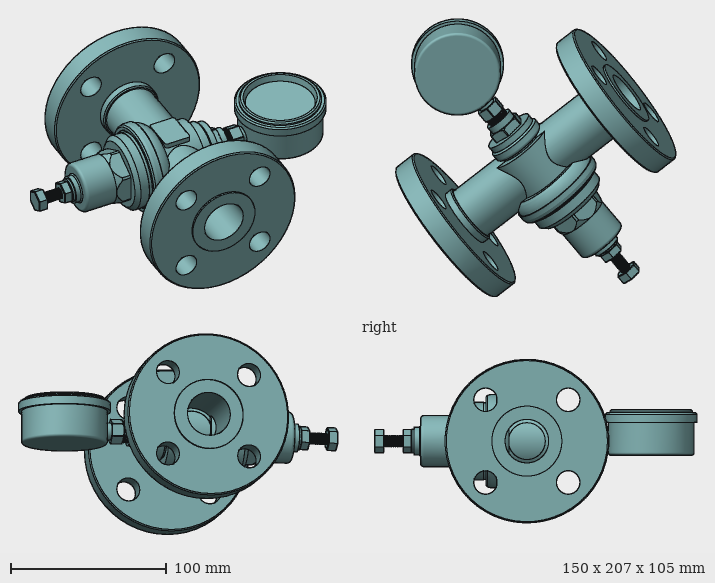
import cadquery as cq
import math


OVERALL_LENGTH = 150.0
FLANGE_DIA = 105.0
FLANGE_THICKNESS = 15.1
FLANGE_CHAMFER = 0.8
RAISED_FACE_DIA = 45.0
RAISED_FACE_HEIGHT = 1.2
HUB_DIA = 39.5
HUB_LENGTH = 5.4
HUB_CHAMFER = 0.8
PIPE_DIA = 36.0
BORE_DIA = 28.0
BOLT_CIRCLE_DIA = 75.0
BOLT_HOLE_DIA = 15.0
BOLT_COUNT = 4
FIRST_BOLT_ANGLE = 45

CORE_DIA = 43.5
CORE_TOP = 15.3
CORE_BOTTOM = -11.4
SEAT_DIA = 23.5
SEAT_DEPTH = 0.5

COLLAR_DIA = 35.5
COLLAR_NECK_DIA = 31.5
COLLAR_BOTTOM = 16.3
COLLAR_TOP = 23.5
COLLAR_CHAMFER = 1.2
COLLAR_FILLET = 2.0

BELL_DIA = 60.0
BELL_TOP_DIA = 51.0
BELL_CROWN_DIA = 53.8
BELL_BULGE_DIA = 56.7
BELL_SHOULDER_DIA = 58.4
BELL_CROWN_END = -13.0
BELL_BULGE_HEIGHT = -15.7
BELL_RIM_TOP = -19.5
BELL_RIM_BOTTOM = -23.2
BELL_LIP_DIA = 58.8
BELL_LIP_TOP = -25.2
BELL_BOTTOM = -26.3
BELL_BOTTOM_DIA = 56.7
BELL_RECESS_DIA = 52.4
BELL_RECESS_DEPTH = 1.0
CAP_SEAT = BELL_BOTTOM + BELL_RECESS_DEPTH

PAD_LENGTH = 22.8
PAD_WIDTH = 18.0
PAD_CORNER = 1.7
PAD_TOP = 22.0

PLUG_RIM_DIA = 33.0
PLUG_RIM_TOP = 27.7
PLUG_HEX_FLATS = 20.3
PLUG_HEX_CORNER_DIA = 23.0
PLUG_HEX_CHAMFER = 0.8
PLUG_HEX_TOP = 33.5
PLUG_BOSS_DIA = 18.0
PLUG_TOP = 38.3

GAUGE_CENTRE = 79.7
BEZEL_DIA = 59.0
BEZEL_BOTTOM = 12.0
BEZEL_TOP = 18.2
BEZEL_CHAMFER = 1.0
RIM_DIA = 53.0
RIM_TOP = 20.3
RIM_CHAMFER = 1.0
RIM_BORE_DIA = 47.5
DIAL_DIA = 45.0
DIAL_DEPTH = 4.3
CASE_DIA = 55.0
CASE_BOTTOM = -9.1
CASE_FILLET = 1.7
STEM_DIA = 11.0
STEM_HEX_FLATS = 14.0
STEM_HEX_CORNER_DIA = 16.0
STEM_HEX_BOTTOM = 42.2
STEM_HEX_TOP = 49.7
STEM_THREAD_DIA = 13.9

CAP_DIA = 50.0
CAP_GROOVE_DIA = 49.5
CAP_GROOVE_WIDTH = 2.5
CAP_CHAMFER = 3.0
CAP_BOTTOM = -36.8
BONNET_HEX_FLATS = 33.0
BONNET_HEX_CORNER_DIA = 37.0
BONNET_CONE_START = -42.6
BONNET_HEX_BOTTOM = -47.0
BARREL_DIA = 33.0
BARREL_BOTTOM = -68.0
BARREL_FILLET = 2.0
NECK_FLARE_DIA = 19.9
NECK_FLARE_BOTTOM = -69.0
NECK_DIA = 18.0
NECK_BOTTOM = -72.2
NECK_END_DIA = 15.5
BONNET_BOTTOM = -73.7
SCREW_ENGAGEMENT = 10.3

NUT_FLATS = 13.0
NUT_HEIGHT = 5.8
HEX_CHAMFER = 0.52
SCREW_DIA = 7.2
SCREW_HEAD_TOP = -91.5
SCREW_BOTTOM = -97.78
THREAD_PITCH = 1.2
THREAD_DEPTH = 0.31

NUT_BOTTOM = BONNET_BOTTOM - NUT_HEIGHT


def turned(profile):
    """Solid of revolution about Y from (radius, y) points, closed along the axis."""
    points = [(0, profile[0][1]), *profile, (0, profile[-1][1])]
    return cq.Workplane("XY").polyline(points).close().revolve(360, (0, 0), (0, 1))


def cylinder_y(diameter, y_low, y_high):
    """Cylinder about Y between two heights."""
    return turned([(diameter / 2, y_low), (diameter / 2, y_high)])


def hexagon_y(flats, y_low, y_high):
    """Hexagonal prism about Y with flats on +X and -X."""
    across_corners = flats / math.cos(math.pi / 6)
    return (
        cq.Workplane("XZ", origin=(0, y_high, 0))
        .transformed(rotate=(0, 0, 30))
        .polygon(6, across_corners)
        .extrude(y_high - y_low)
    )


def chamfered_hexagon(y_low, y_high):
    """Nut or screw head about Y with its end edges chamfered."""
    return hexagon_y(NUT_FLATS, y_low, y_high).faces("<Y or >Y").edges().chamfer(HEX_CHAMFER)


def threaded_rod(diameter, y_low, y_high):
    """Rod about Y with a row of V-shaped ring grooves standing for its thread."""
    crest = diameter / 2
    root = crest - THREAD_DEPTH
    turns = round((y_high - y_low) / THREAD_PITCH)
    pitch = (y_high - y_low) / turns
    profile = [(crest, y_low)]
    for turn in range(turns):
        profile.append((root, y_low + (turn + 0.5) * pitch))
        profile.append((crest, y_low + (turn + 1) * pitch))
    return turned(profile)


def flanged_end(side):
    """One flange with its raised face, hub and pipe; side is +1 or -1 along X."""
    face = OVERALL_LENGTH / 2
    flange_front = face - RAISED_FACE_HEIGHT
    flange_back = flange_front - FLANGE_THICKNESS
    hub_end = flange_back - HUB_LENGTH
    plane = cq.Workplane("YZ")
    flange = (
        plane.workplane(offset=flange_back)
        .circle(FLANGE_DIA / 2)
        .extrude(FLANGE_THICKNESS)
        .edges()
        .chamfer(FLANGE_CHAMFER)
    )
    holes = (
        plane.workplane(offset=flange_back)
        .polarArray(BOLT_CIRCLE_DIA / 2, FIRST_BOLT_ANGLE, 360, BOLT_COUNT)
        .circle(BOLT_HOLE_DIA / 2)
        .extrude(FLANGE_THICKNESS)
    )
    raised_face = plane.workplane(offset=flange_back).circle(RAISED_FACE_DIA / 2).extrude(face - flange_back)
    hub = (
        plane.workplane(offset=hub_end)
        .circle(HUB_DIA / 2)
        .extrude(HUB_LENGTH)
        .faces("<X")
        .edges()
        .chamfer(HUB_CHAMFER)
    )
    pipe = plane.circle(PIPE_DIA / 2).extrude(face)
    bore = plane.circle(BORE_DIA / 2).extrude(face)
    end = flange.cut(holes).union(raised_face).union(hub).union(pipe).cut(bore)
    return end if side > 0 else end.mirror("YZ")


def collar():
    """Rounded collar above the core, on a short narrower neck."""
    neck = cylinder_y(COLLAR_NECK_DIA, CORE_TOP, COLLAR_BOTTOM)
    ring = cylinder_y(COLLAR_DIA, COLLAR_BOTTOM, COLLAR_TOP)
    ring = ring.faces(">Y").edges().chamfer(COLLAR_CHAMFER)
    ring = ring.faces("<Y").edges().fillet(COLLAR_FILLET)
    return neck.union(ring)


def bell():
    """Domed bell below the core, recessed underneath to seat the bonnet."""
    return (
        cq.Workplane("XY")
        .moveTo(0, CAP_SEAT)
        .lineTo(BELL_RECESS_DIA / 2, CAP_SEAT)
        .lineTo(BELL_RECESS_DIA / 2, BELL_BOTTOM)
        .lineTo(BELL_BOTTOM_DIA / 2, BELL_BOTTOM)
        .lineTo(BELL_LIP_DIA / 2, BELL_LIP_TOP)
        .lineTo(BELL_DIA / 2, BELL_RIM_BOTTOM)
        .lineTo(BELL_DIA / 2, BELL_RIM_TOP)
        .lineTo(BELL_SHOULDER_DIA / 2, BELL_RIM_TOP)
        .threePointArc((BELL_BULGE_DIA / 2, BELL_BULGE_HEIGHT), (BELL_CROWN_DIA / 2, BELL_CROWN_END))
        .lineTo(BELL_TOP_DIA / 2, CORE_BOTTOM)
        .lineTo(0, CORE_BOTTOM)
        .close()
        .revolve(360, (0, 0), (0, 1))
    )


def housing_core():
    """Solid core with its collar and bell, standing across the flow axis."""
    return cylinder_y(CORE_DIA, CORE_BOTTOM, CORE_TOP).union(collar()).union(bell())


def name_pad():
    """Flat pad with rounded corners on the +Z side of the core."""
    return cq.Workplane("XY").rect(PAD_LENGTH, PAD_WIDTH).extrude(PAD_TOP).edges("|Z").fillet(PAD_CORNER)


def seat_recesses():
    """Shallow round recesses in the core at the inner end of both bores."""
    through = cq.Workplane("YZ").circle(SEAT_DIA / 2).extrude(CORE_DIA / 2, both=True)
    return through.cut(cylinder_y(CORE_DIA - 2 * SEAT_DEPTH, BELL_BOTTOM, COLLAR_TOP))


def make_housing():
    """Core, pad and both flanged ends as one casting."""
    housing = housing_core().union(name_pad())
    for side in (-1, 1):
        housing = housing.union(flanged_end(side))
    return housing.cut(seat_recesses())


def make_plug():
    """Hexagonal plug closing the collar and carrying the gauge."""
    rim = cylinder_y(PLUG_RIM_DIA, COLLAR_TOP, PLUG_RIM_TOP)
    corners = cylinder_y(PLUG_HEX_CORNER_DIA, PLUG_RIM_TOP, PLUG_HEX_TOP)
    corners = corners.faces(">Y").edges().chamfer(PLUG_HEX_CHAMFER)
    hexagon = hexagon_y(PLUG_HEX_FLATS, PLUG_RIM_TOP, PLUG_HEX_TOP).intersect(corners)
    boss = cylinder_y(PLUG_BOSS_DIA, PLUG_HEX_TOP, PLUG_TOP)
    return rim.union(hexagon).union(boss)


def gauge_disc(diameter, z_low, z_high):
    """Disc about the gauge axis, which is parallel to Z."""
    return (
        cq.Workplane("XY", origin=(0, GAUGE_CENTRE, z_low))
        .circle(diameter / 2)
        .extrude(z_high - z_low)
    )


def make_gauge():
    """Round gauge with a recessed dial and a threaded hexagonal stem."""
    case = gauge_disc(CASE_DIA, CASE_BOTTOM, BEZEL_BOTTOM).faces("<Z").edges().fillet(CASE_FILLET)
    bezel = gauge_disc(BEZEL_DIA, BEZEL_BOTTOM, BEZEL_TOP).faces(">Z").edges().chamfer(BEZEL_CHAMFER)
    rim = gauge_disc(RIM_DIA, BEZEL_BOTTOM, RIM_TOP).faces(">Z").edges().chamfer(RIM_CHAMFER)
    dial_level = RIM_TOP - DIAL_DEPTH
    recess = (
        cq.Workplane("XY", origin=(0, GAUGE_CENTRE, dial_level))
        .circle(DIAL_DIA / 2)
        .workplane(offset=DIAL_DEPTH)
        .circle(RIM_BORE_DIA / 2)
        .loft()
    )
    thread = threaded_rod(STEM_THREAD_DIA, PLUG_TOP, STEM_HEX_BOTTOM)
    corners = cylinder_y(STEM_HEX_CORNER_DIA, STEM_HEX_BOTTOM, STEM_HEX_TOP)
    hexagon = hexagon_y(STEM_HEX_FLATS, STEM_HEX_BOTTOM, STEM_HEX_TOP).intersect(corners)
    stem = cylinder_y(STEM_DIA, STEM_HEX_TOP, GAUGE_CENTRE)
    return case.union(bezel).union(rim).union(stem).cut(recess).union(hexagon).union(thread)


def make_bonnet():
    """Spring bonnet: cap, hexagon, barrel and a stepped neck bored for the screw."""
    cap = turned([
        (CAP_GROOVE_DIA / 2, CAP_SEAT),
        (CAP_GROOVE_DIA / 2, CAP_SEAT - CAP_GROOVE_WIDTH),
        (CAP_DIA / 2, CAP_SEAT - CAP_GROOVE_WIDTH),
        (CAP_DIA / 2, CAP_BOTTOM + CAP_CHAMFER),
        (CAP_DIA / 2 - CAP_CHAMFER, CAP_BOTTOM),
    ])
    corner_cone = turned([
        (BONNET_HEX_CORNER_DIA / 2, CAP_BOTTOM),
        (BONNET_HEX_CORNER_DIA / 2, BONNET_CONE_START),
        (BARREL_DIA / 2, BONNET_HEX_BOTTOM),
    ])
    hexagon = hexagon_y(BONNET_HEX_FLATS, BONNET_HEX_BOTTOM, CAP_BOTTOM)
    barrel = cylinder_y(BARREL_DIA, BARREL_BOTTOM, CAP_BOTTOM).faces("<Y").edges().fillet(BARREL_FILLET)
    neck = turned([
        (NECK_FLARE_DIA / 2, BARREL_BOTTOM),
        (NECK_DIA / 2, NECK_FLARE_BOTTOM),
        (NECK_DIA / 2, NECK_BOTTOM),
    ])
    neck_end = cylinder_y(NECK_END_DIA, BONNET_BOTTOM, NECK_BOTTOM)
    screw_hole = cylinder_y(SCREW_DIA, BONNET_BOTTOM, BONNET_BOTTOM + SCREW_ENGAGEMENT)
    bonnet = cap.union(hexagon.intersect(corner_cone)).union(barrel).union(neck).union(neck_end)
    return bonnet.cut(screw_hole)


def make_lock_nut():
    """Hexagonal nut against the end of the bonnet."""
    blank = chamfered_hexagon(NUT_BOTTOM, BONNET_BOTTOM)
    return blank.cut(cylinder_y(SCREW_DIA, NUT_BOTTOM, BONNET_BOTTOM))


def make_screw():
    """Hexagon-head screw passing through the lock nut into the bonnet."""
    head = chamfered_hexagon(SCREW_BOTTOM, SCREW_HEAD_TOP)
    thread = threaded_rod(SCREW_DIA, SCREW_HEAD_TOP, NUT_BOTTOM)
    shank = cylinder_y(SCREW_DIA, NUT_BOTTOM, BONNET_BOTTOM + SCREW_ENGAGEMENT)
    return head.union(thread).union(shank)


housing = make_housing()
plug = make_plug()
gauge = make_gauge()
bonnet = make_bonnet()
lock_nut = make_lock_nut()
screw = make_screw()

result = cq.Compound.makeCompound(
    [housing.val(), plug.val(), gauge.val(), bonnet.val(), lock_nut.val(), screw.val()]
)